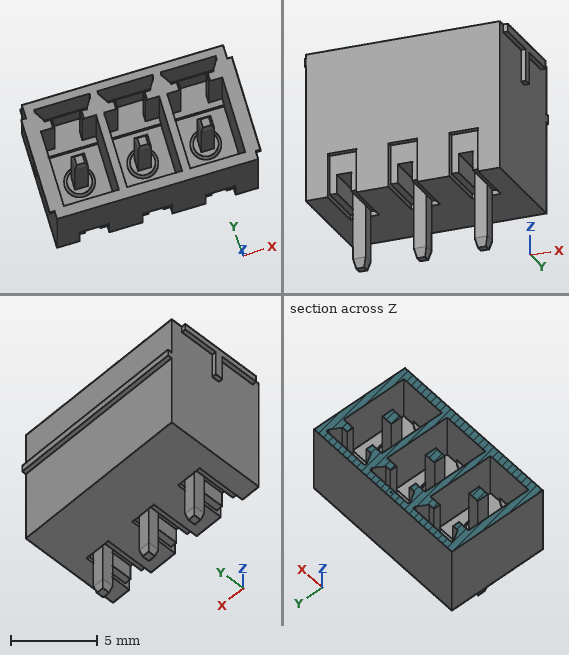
import cadquery as cq


OVERALL_WIDTH = 12.74
OVERALL_DEPTH = 7.3
OVERALL_HEIGHT = 12.8
BODY_WIDTH = 12.16
BODY_DEPTH = 7.0
BODY_HEIGHT = 9.29

PIN_COUNT = 3
PITCH = 3.81
PIN_Y = 2.98
PIN_XS = [(i - (PIN_COUNT - 1) / 2) * PITCH for i in range(PIN_COUNT)]

PIN_SIDE = 0.8
PIN_TIP_SIDE = 0.5
PIN_TOP_DROP = 0.18
PIN_TIP_LENGTH = 0.59
PIN_BOTTOM = BODY_HEIGHT - OVERALL_HEIGHT
PIN_TOP = BODY_HEIGHT - PIN_TOP_DROP

CAVITY_WIDTH = 3.33
FRONT_WALL = 0.61
FLOOR_HEIGHT = 2.0
SHELF_HEIGHT = 2.5
SHELF_Y = 4.81
MAIN_END_Y = 5.2
NECK_WIDTH = 1.68
NECK_END_Y = 5.68
KEYWAY_MOUTH_WIDTH = 2.5
KEYWAY_FLARE_END_Y = 6.35
KEYWAY_END_Y = 6.52
BACK_STEP = 0.05
BACK_STEP_HEIGHT = 4.99
NECK_CHAMFER = 0.1

COLLAR_DIAMETER = 1.8
COLLAR_TOP_DIAMETER = 1.47
COLLAR_HEIGHT = 0.18

BUMP_WIDTH = 1.68
BUMP_REACH = 0.28
BUMP_HEIGHT = 0.28

EAR_REACH = (OVERALL_WIDTH - BODY_WIDTH) / 2
EAR_FRONT_Y = 0.5
EAR_LENGTH = 5.68
EAR_HEIGHT = 0.5
STEM_WIDTH = 0.54
STEM_Y = 3.47
STEM_LENGTH = 2.5

RIB_REACH = OVERALL_DEPTH - BODY_DEPTH
RIB_HEIGHT = 0.52
RIB_DROP = 2.98
RIB_TOP = BODY_HEIGHT - RIB_DROP

NOTCH_WIDTH = 1.79
NOTCH_DEPTH = 0.33
NOTCH_HEIGHT = 2.75
SLOT_WIDTH = 0.9
SLOT_HEIGHT = 1.48
RECESS_HEIGHT = 0.3
SLOT_END_Y = PIN_Y + SLOT_WIDTH / 2


def block(x_center, width, y_start, y_end, z_start, z_end):
    """Box centred in X and given by its start and end in Y and Z."""
    box = cq.Workplane("XY").box(width, y_end - y_start, z_end - z_start, centered=(True, False, False))
    return box.translate((x_center, y_start, z_start))


def end_ear(side):
    """T-shaped rib at the top of one end wall; side is -1 or +1."""
    x_center = side * (BODY_WIDTH + EAR_REACH) / 2
    bar = block(x_center, EAR_REACH, EAR_FRONT_Y, EAR_FRONT_Y + EAR_LENGTH,
                BODY_HEIGHT - EAR_HEIGHT, BODY_HEIGHT)
    stem = block(x_center, EAR_REACH, STEM_Y - STEM_WIDTH / 2, STEM_Y + STEM_WIDTH / 2,
                 BODY_HEIGHT - STEM_LENGTH, BODY_HEIGHT)
    return bar.union(stem)


def cavity(x):
    """Main chamber joined by a chamfered neck to a flared keyway in the back wall."""
    main = block(x, CAVITY_WIDTH, FRONT_WALL, MAIN_END_Y, FLOOR_HEIGHT, BODY_HEIGHT)
    shelf = block(x, CAVITY_WIDTH, SHELF_Y, MAIN_END_Y, FLOOR_HEIGHT, SHELF_HEIGHT)
    neck = block(x, NECK_WIDTH, MAIN_END_Y, NECK_END_Y, SHELF_HEIGHT, BODY_HEIGHT)
    neck_mouth = (
        cq.Workplane("XZ", origin=(x, NECK_END_Y, BODY_HEIGHT))
        .moveTo(-NECK_WIDTH / 2, -NECK_CHAMFER)
        .lineTo(NECK_WIDTH / 2, -NECK_CHAMFER)
        .lineTo(NECK_WIDTH / 2 + NECK_CHAMFER, 0)
        .lineTo(-NECK_WIDTH / 2 - NECK_CHAMFER, 0)
        .close()
        .extrude(NECK_END_Y - MAIN_END_Y)
    )
    keyway_back_y = KEYWAY_END_Y - BACK_STEP
    keyway = (
        cq.Workplane("XY", origin=(x, 0, SHELF_HEIGHT))
        .moveTo(-KEYWAY_MOUTH_WIDTH / 2, NECK_END_Y)
        .lineTo(KEYWAY_MOUTH_WIDTH / 2, NECK_END_Y)
        .lineTo(CAVITY_WIDTH / 2, KEYWAY_FLARE_END_Y)
        .lineTo(CAVITY_WIDTH / 2, keyway_back_y)
        .lineTo(-CAVITY_WIDTH / 2, keyway_back_y)
        .lineTo(-CAVITY_WIDTH / 2, KEYWAY_FLARE_END_Y)
        .close()
        .extrude(BODY_HEIGHT - SHELF_HEIGHT)
    )
    back_step = block(x, CAVITY_WIDTH, keyway_back_y, KEYWAY_END_Y, BACK_STEP_HEIGHT, BODY_HEIGHT)
    return main.cut(shelf).union(neck).union(neck_mouth).union(keyway).union(back_step)


def pin_opening(x):
    """Shallow front notch, the narrower slot behind it and the low recess under the housing."""
    notch = block(x, NOTCH_WIDTH, 0, NOTCH_DEPTH, 0, NOTCH_HEIGHT)
    slot = block(x, SLOT_WIDTH, 0, SLOT_END_Y, 0, SLOT_HEIGHT)
    recess = block(x, NOTCH_WIDTH, 0, SLOT_END_Y, 0, RECESS_HEIGHT)
    return notch.union(slot).union(recess)


def collar(x):
    """Low truncated cone around the pin, seated on the cavity floor."""
    return (
        cq.Workplane("XY", origin=(x, PIN_Y, FLOOR_HEIGHT))
        .circle(COLLAR_DIAMETER / 2)
        .workplane(offset=COLLAR_HEIGHT)
        .circle(COLLAR_TOP_DIAMETER / 2)
        .loft()
    )


def front_bump(x):
    """Arc-shaped bump on the cavity floor whose top slopes up to the front wall."""
    arc_block = (
        cq.Workplane("XY", origin=(x, FRONT_WALL, FLOOR_HEIGHT))
        .moveTo(-BUMP_WIDTH / 2, 0)
        .threePointArc((0, BUMP_REACH), (BUMP_WIDTH / 2, 0))
        .close()
        .extrude(BUMP_HEIGHT)
    )
    slope = (
        cq.Workplane("YZ", origin=(x - BUMP_WIDTH / 2, FRONT_WALL, FLOOR_HEIGHT))
        .lineTo(BUMP_REACH, 0)
        .lineTo(0, BUMP_HEIGHT)
        .close()
        .extrude(BUMP_WIDTH)
    )
    return arc_block.intersect(slope)


def pin_tip(x, z, length):
    """Square taper starting at height z; a negative length points it downward."""
    return (
        cq.Workplane("XY", origin=(x, PIN_Y, z))
        .rect(PIN_SIDE, PIN_SIDE)
        .workplane(offset=length)
        .rect(PIN_TIP_SIDE, PIN_TIP_SIDE)
        .loft()
    )


def pin(x):
    """Square pin tapered at both ends."""
    shaft_bottom = PIN_BOTTOM + PIN_TIP_LENGTH
    shaft_top = PIN_TOP - PIN_TIP_LENGTH
    shaft = block(x, PIN_SIDE, PIN_Y - PIN_SIDE / 2, PIN_Y + PIN_SIDE / 2, shaft_bottom, shaft_top)
    lower_tip = pin_tip(x, shaft_bottom, -PIN_TIP_LENGTH)
    upper_tip = pin_tip(x, shaft_top, PIN_TIP_LENGTH)
    return shaft.union(lower_tip).union(upper_tip)


housing = block(0, BODY_WIDTH, 0, BODY_DEPTH, 0, BODY_HEIGHT)
back_rib = block(0, BODY_WIDTH, BODY_DEPTH, BODY_DEPTH + RIB_REACH, RIB_TOP - RIB_HEIGHT, RIB_TOP)
housing = housing.union(back_rib).union(end_ear(-1)).union(end_ear(1))

for pin_x in PIN_XS:
    housing = housing.cut(cavity(pin_x)).cut(pin_opening(pin_x))
    housing = housing.union(collar(pin_x)).union(front_bump(pin_x)).union(pin(pin_x))

result = housing